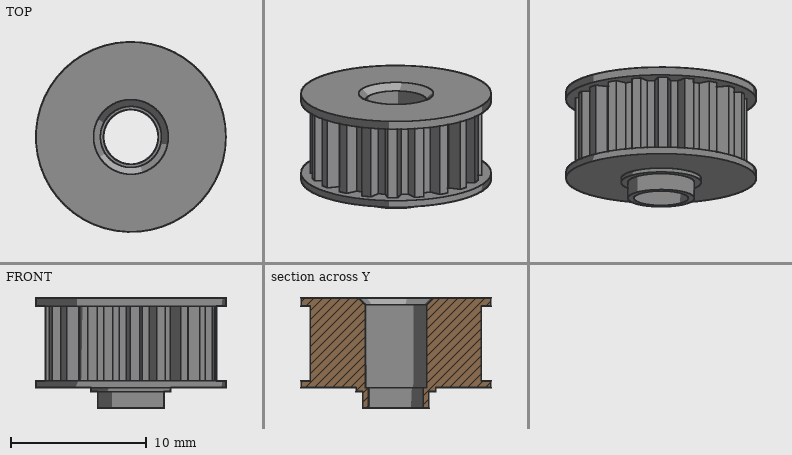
import cadquery as cq
import math

spigot_height = 1.2
shoulder_height = 0.3
lower_flange_height = 0.5
toothed_height = 5.5
upper_flange_height = 0.6

spigot_diameter = 4.9
shoulder_diameter = 5.9
flange_diameter = 14.0
tooth_tip_diameter = 12.63

tooth_count = 20
groove_root_diameter = 10.85
groove_root_width = 0.53
groove_mouth_width = 1.29
first_groove_angle = 11.6

bore_diameter = 4.0
upper_bore_diameter = 4.5
bore_mouth_diameter = 5.5
bore_chamfer = (bore_mouth_diameter - upper_bore_diameter) / 2

shoulder_base = spigot_height
lower_flange_base = shoulder_base + shoulder_height
teeth_base = lower_flange_base + lower_flange_height
upper_flange_base = teeth_base + toothed_height
top = upper_flange_base + upper_flange_height


def disc(diameter, base, height):
    """Solid cylinder on the pulley axis, standing on the given level."""
    return cq.Workplane("XY").workplane(offset=base).circle(diameter / 2).extrude(height)


def point_at_half_width(radius, half_width):
    """Point on a circle at the given distance from the groove's centre line (+X)."""
    return math.sqrt(radius**2 - half_width**2), half_width


def groove_cutter():
    """Trapezoidal groove along +X with an arc root, widening past the tooth tips."""
    root_radius = groove_root_diameter / 2
    root_x, root_y = point_at_half_width(root_radius, groove_root_width / 2)
    mouth_x, mouth_y = point_at_half_width(tooth_tip_diameter / 2, groove_mouth_width / 2)
    flank_slope = (mouth_y - root_y) / (mouth_x - root_x)
    outer_x = flange_diameter / 2
    outer_y = mouth_y + flank_slope * (outer_x - mouth_x)
    return (
        cq.Workplane("XY")
        .workplane(offset=teeth_base)
        .moveTo(root_x, -root_y)
        .threePointArc((root_radius, 0), (root_x, root_y))
        .lineTo(outer_x, outer_y)
        .lineTo(outer_x, -outer_y)
        .close()
        .extrude(toothed_height)
    )


def toothed_ring():
    """Belt section with evenly spaced grooves cut around it."""
    ring = disc(tooth_tip_diameter, teeth_base, toothed_height)
    cutter = groove_cutter()
    for index in range(tooth_count):
        angle = first_groove_angle + index * 360 / tooth_count
        ring = ring.cut(cutter.rotate((0, 0, 0), (0, 0, 1), angle))
    return ring


def stepped_bore():
    """Through bore, widened above the shoulder and chamfered at the top face."""
    through_bore = disc(bore_diameter, 0, top)
    upper_bore = disc(upper_bore_diameter, lower_flange_base, top - lower_flange_base)
    chamfer_cone = (
        cq.Workplane("XY")
        .workplane(offset=top)
        .circle(bore_mouth_diameter / 2)
        .workplane(offset=-bore_chamfer)
        .circle(upper_bore_diameter / 2)
        .loft(ruled=True)
    )
    return through_bore.union(upper_bore).union(chamfer_cone)


pulley = (
    disc(spigot_diameter, 0, spigot_height)
    .union(disc(shoulder_diameter, shoulder_base, shoulder_height))
    .union(disc(flange_diameter, lower_flange_base, lower_flange_height))
    .union(toothed_ring())
    .union(disc(flange_diameter, upper_flange_base, upper_flange_height))
)

result = pulley.cut(stepped_bore())